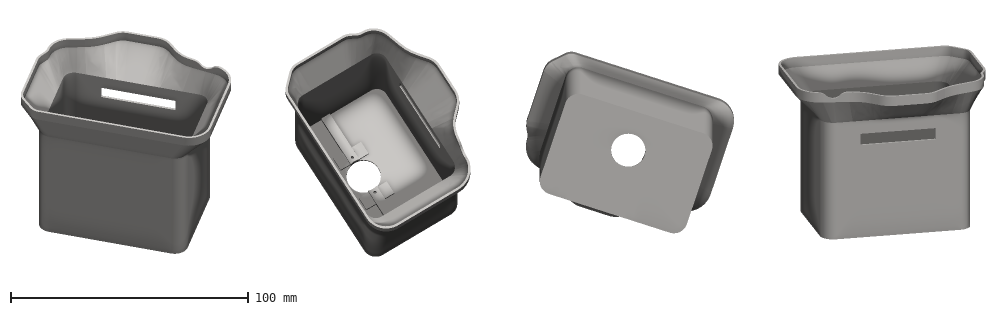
import cadquery as cq
import math

wall = 1.0
overall_width = 83.4
overall_depth = 61.8
body_width = 65.0
body_depth = 45.2
body_corner_radius = 5.75
body_height = 51.7
flare_height = 10.3
rim_height = 4.25
flare_top = body_height + flare_height
total_height = flare_top + rim_height

rim_left = -41.1
rim_right = rim_left + overall_width
rim_front = -25.0
rim_back = rim_front + overall_depth
rim_corners = [
    (-33.0, rim_front, 5.8),
    (rim_right, rim_front, 9.7),
    (rim_right, 23.8, 10.85),
    (17.4, 27.6, 14.8),
    (8.3, rim_back, 9.35),
    (-11.5, rim_back, 8.8),
    (-21.3, 29.1, 22.3),
    (-38.4, 23.7, 9.6),
    (-38.5, 15.35, 4.5),
    (rim_left, 10.4, 7.3),
    (rim_left, -16.9, 6.9),
]
seam_x = -1.3

notch_x = 28.9
notch_width = 12.2
notch_depth = 2.6
notch_bottom_radius = 4.0

slot_width = 32.5
slot_height = 5.0
slot_cut_depth = 3 * wall
slot_top_gap = 5.75

hole_x = -0.9
hole_y = -5.7
hole_diameter = 14.4
pad_width = 6.1
pad_depth = 13.85
pad_thickness = wall
rail_depth = 4.25
rail_thickness = 2 * wall
pilot_diameter = 1.3
pilot_spacing = 18.0


def rounded_outline(corners, z):
    """Closed wire through the corners, each rounded, starting on the front side."""
    count = len(corners)
    arcs = []
    for i in range(count):
        x, y, radius = corners[i]
        corner = cq.Vector(x, y, z)
        to_previous = (cq.Vector(*corners[i - 1][:2], z) - corner).normalized()
        to_next = (cq.Vector(*corners[(i + 1) % count][:2], z) - corner).normalized()
        half_angle = to_previous.getAngle(to_next) / 2
        tangent_length = radius / math.tan(half_angle)
        middle_gap = radius / math.sin(half_angle) - radius
        middle = corner + (to_previous + to_next).normalized() * middle_gap
        arcs.append((corner + to_previous * tangent_length, middle, corner + to_next * tangent_length))
    seam = cq.Vector(seam_x, corners[0][1], z)
    edges = []
    position = seam
    for start, middle, end in arcs[1:] + arcs[:1]:
        edges.append(cq.Edge.makeLine(position, start))
        edges.append(cq.Edge.makeThreePointArc(start, middle, end))
        position = end
    edges.append(cq.Edge.makeLine(position, seam))
    return cq.Wire.assembleEdges(edges)


def body_corners(inset):
    """Corners of the body outline, moved inward."""
    x = body_width / 2 - inset
    y = body_depth / 2 - inset
    radius = body_corner_radius - inset
    return [(-x, -y, radius), (x, -y, radius), (x, y, radius), (-x, y, radius)]


def inset_rim_corners(inset):
    """Corners of the outline parallel to the rim, moved inward."""
    count = len(rim_corners)
    moved = []
    for i in range(count):
        corner = cq.Vector(*rim_corners[i][:2])
        along_in = (corner - cq.Vector(*rim_corners[i - 1][:2])).normalized()
        along_out = (cq.Vector(*rim_corners[(i + 1) % count][:2]) - corner).normalized()
        turn = along_in.cross(along_out).z
        shift = (along_out - along_in) * (inset / turn)
        radius = rim_corners[i][2] - math.copysign(inset, turn)
        moved.append((corner.x + shift.x, corner.y + shift.y, radius))
    return moved


def extruded(corners, bottom, height):
    """Upright prism over the rounded outline."""
    return cq.Solid.extrudeLinear(rounded_outline(corners, bottom), [], cq.Vector(0, 0, height))


def funnel(inset, bottom):
    """Solid filling the body, flare and rim, drawn in by the inset."""
    lower = body_corners(inset)
    upper = inset_rim_corners(inset)
    body = extruded(lower, bottom, body_height - bottom)
    flare = cq.Solid.makeLoft([rounded_outline(lower, body_height), rounded_outline(upper, flare_top)], True)
    rim = extruded(upper, flare_top, rim_height)
    return cq.Workplane(body).union(cq.Workplane(flare)).union(cq.Workplane(rim))


def notch():
    """Cutter with a round bottom that blends smoothly into the rim's top edge on both sides."""
    half_width = notch_width / 2
    slope = 2 * math.atan(notch_depth / half_width)
    edge_radius = half_width / math.sin(slope) - notch_bottom_radius
    bend_x = notch_bottom_radius * math.sin(slope)
    bend_z = notch_bottom_radius * (1 - math.cos(slope)) - notch_depth
    edge_x = half_width - edge_radius * math.sin(slope / 2)
    edge_z = -edge_radius * (1 - math.cos(slope / 2))
    profile = (
        cq.Workplane("XZ", origin=(notch_x, 0, total_height))
        .moveTo(-half_width, 0)
        .threePointArc((-edge_x, edge_z), (-bend_x, bend_z))
        .threePointArc((0, -notch_depth), (bend_x, bend_z))
        .threePointArc((edge_x, edge_z), (half_width, 0))
        .close()
    )
    return profile.extrude(-rim_back)


shell = funnel(0, 0).cut(funnel(wall, wall)).cut(notch())

slot = cq.Workplane().box(slot_width, slot_cut_depth, slot_height).translate(
    (0, body_depth / 2, body_height - slot_top_gap - slot_height / 2)
)
shell = shell.cut(slot)

rail = cq.Workplane().box(body_width - wall, rail_depth, rail_thickness, centered=(True, True, False))
shell = shell.union(rail.translate((0, hole_y, wall)))

for side in (-1, 1):
    pad_x = hole_x + side * (hole_diameter + pad_width) / 2
    pad = cq.Workplane().box(pad_width, pad_depth, pad_thickness, centered=(True, True, False))
    shell = shell.union(pad.translate((pad_x, hole_y, wall)))
    pilot = cq.Workplane().circle(pilot_diameter / 2).extrude(rail_thickness)
    shell = shell.cut(pilot.translate((hole_x + side * pilot_spacing / 2, hole_y, wall)))

floor_hole = cq.Workplane().circle(hole_diameter / 2).extrude(wall + rail_thickness)
result = shell.cut(floor_hole.translate((hole_x, hole_y, 0)))